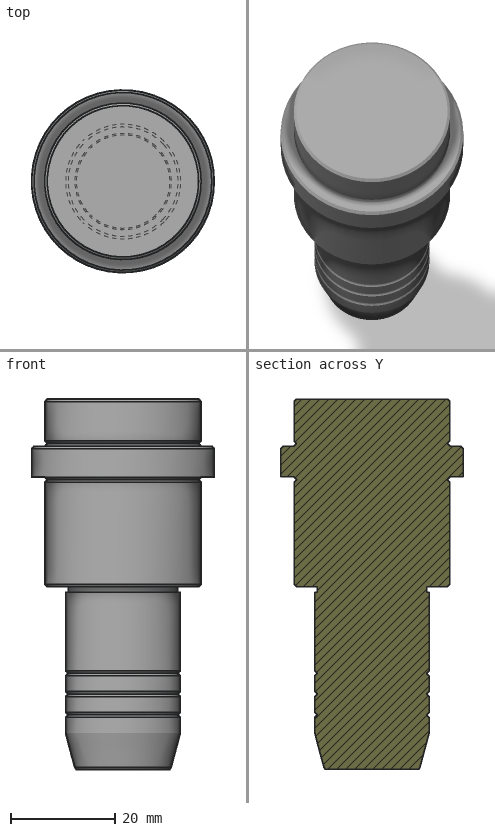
import cadquery as cq
import math

total_height = 71.0
flange_diameter = 35.0
body_diameter = 29.95
stem_diameter = 22.0

flange_top = 62.0
flange_bottom = 56.0
body_bottom = 35.0

edge_chamfer = 0.5
groove_depth = edge_chamfer
groove_width = 2 * groove_depth

neck_height = 1.0
neck_depth = 0.5

barb_groove_count = 3
lowest_groove_center = 10.5
barb_groove_pitch = 4.0

taper_height = 7.0
taper_angle = math.radians(15)
tip_chamfer_height = 0.4
tip_chamfer_depth = 0.3


def cylinder(diameter, bottom, top):
    return cq.Workplane("XY").workplane(offset=bottom).circle(diameter / 2).extrude(top - bottom)


def v_groove(diameter, center):
    """Ring cutter with a V section pointing at the axis."""
    radius = diameter / 2
    section = [
        (radius, center - groove_width / 2),
        (radius - groove_depth, center),
        (radius, center + groove_width / 2),
    ]
    return cq.Workplane("XZ").polyline(section).close().revolve(360, (0, 0), (0, 1))


def make_stem():
    radius = stem_diameter / 2
    neck_bottom = body_bottom - neck_height
    neck_radius = radius - neck_depth
    tip_radius = radius - (taper_height - tip_chamfer_height) * math.tan(taper_angle)
    outline = [
        (0, 0),
        (tip_radius - tip_chamfer_depth, 0),
        (tip_radius, tip_chamfer_height),
        (radius, taper_height),
        (radius, neck_bottom),
        (neck_radius, neck_bottom),
        (neck_radius, body_bottom),
        (0, body_bottom),
    ]
    stem = cq.Workplane("XZ").polyline(outline).close().revolve(360, (0, 0), (0, 1))
    for index in range(barb_groove_count):
        stem = stem.cut(v_groove(stem_diameter, lowest_groove_center + index * barb_groove_pitch))
    return stem


def make_body():
    """Body and head as one cylinder, grooved just above and below the flange."""
    body = cylinder(body_diameter, body_bottom, total_height)
    body = body.faces("<Z or >Z").edges().chamfer(edge_chamfer)
    for center in (flange_top + groove_width / 2, flange_bottom - groove_width / 2):
        body = body.cut(v_groove(body_diameter, center))
    return body


def make_flange():
    flange = cylinder(flange_diameter, flange_bottom, flange_top)
    return flange.faces(">Z").edges().chamfer(edge_chamfer)


result = make_stem().union(make_body()).union(make_flange())